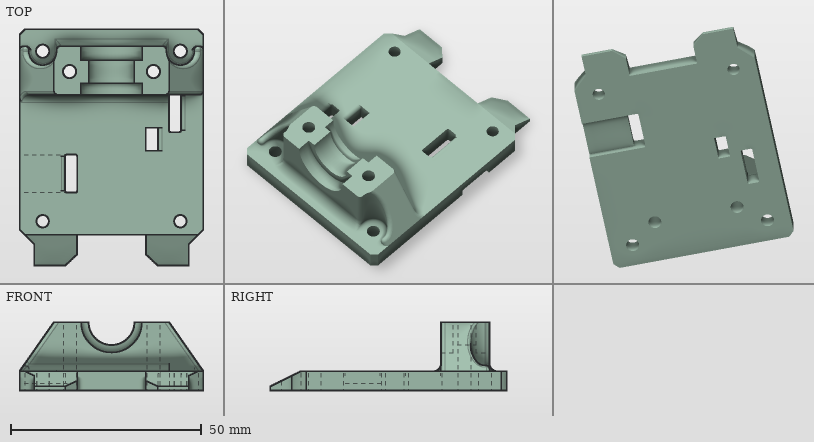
import cadquery as cq
import math


plate_width = 48.23
plate_length = 54.0
plate_thickness = 5.1
corner_chamfer = 1.42

tab_length = 8.03
tab_inner_x = 9.03
tab_outer_x = 20.3
tab_inner_chamfer_x = 3.1
tab_inner_chamfer_y = 2.9
tab_tip_thickness = 1.15

total_height = 18.0
block_front_y = 36.75
block_back_y = 49.5
block_top_half_width = 15.1
block_edge_radius = 1.0
foot_fillet_radius = 2.0
bore_radius = 6.0
counterbore_radius = 8.0
bore_front_y = 39.85
bore_back_y = 45.85
cap_screw_x = 11.0
cap_screw_y = 42.85
cap_screw_diameter = 3.4

mount_screw_x = 18.05
rear_screw_y = 48.2
rear_screw_diameter = 3.4
front_screw_y = 3.6
front_screw_diameter = 3.2
relief_radius = 3.65
relief_edge_radius = 0.9
spur_edge_radius = 0.9
relief_foot_radius = 0.5

slot_width = 3.1
slot_lip_radius = 1.0
slot_corner_radius = 0.4
long_slot_length = 9.9
short_slot_length = 6.0
left_slot_front_y = 11.15
middle_slot_front_y = 22.1
right_slot_front_y = 27.0
channel_height = 2.0

edge_margin = 0.1

quarter_arc_inset = 1 - math.cos(math.pi / 4)

half_width = plate_width / 2
block_height = total_height - plate_thickness


def box(x0, x1, y0, y1, z0, z1):
    return cq.Workplane("XY").box(x1 - x0, y1 - y0, z1 - z0, centered=False).translate((x0, y0, z0))


def make_plate():
    plate = box(-half_width, half_width, 0, plate_length, 0, plate_thickness)
    return plate.edges("|Z").chamfer(corner_chamfer)


def make_tab(side):
    """Wedge tab whose outer flank carries on the 45 degree plate corner."""
    corner_x = half_width - corner_chamfer
    shoulder_y = tab_outer_x - corner_x
    outline = (
        cq.Workplane("XY")
        .moveTo(tab_inner_x, corner_chamfer)
        .lineTo(half_width, corner_chamfer)
        .lineTo(corner_x, 0)
        .lineTo(tab_outer_x, shoulder_y)
        .lineTo(tab_outer_x, -tab_length)
        .lineTo(tab_inner_x + tab_inner_chamfer_x, -tab_length)
        .lineTo(tab_inner_x, tab_inner_chamfer_y - tab_length)
        .close()
        .extrude(plate_thickness)
    )
    wedge = (
        cq.Workplane("YZ")
        .moveTo(corner_chamfer, 0)
        .lineTo(corner_chamfer, plate_thickness)
        .lineTo(0, plate_thickness)
        .lineTo(-tab_length, tab_tip_thickness)
        .lineTo(-tab_length, 0)
        .close()
        .extrude(half_width)
    )
    tab = outline.intersect(wedge)
    return tab if side > 0 else tab.mirror("YZ")


def make_flank_prism(front_y, back_y):
    """Trapezoid of the block, sloping from the plate sides to the narrow top."""
    return (
        cq.Workplane("XZ", origin=(0, back_y, 0))
        .moveTo(-half_width, plate_thickness)
        .lineTo(half_width, plate_thickness)
        .lineTo(block_top_half_width, total_height)
        .lineTo(-block_top_half_width, total_height)
        .close()
        .extrude(back_y - front_y)
    )


def make_foot_strip(x0, x1, wall_y, direction):
    """Concave strip between the plate top and a block wall facing `direction` along Y."""
    arc_rise = foot_fillet_radius * quarter_arc_inset
    return (
        cq.Workplane("YZ", origin=(x0, 0, 0))
        .moveTo(wall_y, plate_thickness)
        .lineTo(wall_y + direction * foot_fillet_radius, plate_thickness)
        .threePointArc(
            (wall_y + direction * arc_rise, plate_thickness + arc_rise),
            (wall_y, plate_thickness + foot_fillet_radius),
        )
        .close()
        .extrude(x1 - x0)
    )


def make_relief(side):
    """U-shaped clearance around a rear screw, open to the back, with a rounded floor rim."""
    round_end = cq.Workplane("XY").circle(relief_radius).extrude(block_height)
    tail = box(-relief_radius, relief_radius, 0, plate_length - rear_screw_y, 0, block_height)
    relief = round_end.union(tail).faces("<Z").edges("not >Y").fillet(relief_foot_radius)
    return relief.translate((side * mount_screw_x, rear_screw_y, plate_thickness))


def edges_within(body, x0, x1, y0, y1, z0, z1):
    """Edges whose centre lies in the given box."""
    return body.edges(cq.selectors.BoxSelector((x0, y0, z0), (x1, y1, z1)))


def round_block_edges(block, side):
    """Round the sloped front edge, the relief rim and the back corners on one side."""
    low_z = plate_thickness + edge_margin
    high_z = total_height - edge_margin
    flank_x0, flank_x1 = sorted((side * (block_top_half_width + edge_margin), side * half_width))
    relief_end_y = rear_screw_y - relief_radius
    rim = edges_within(block, flank_x0, flank_x1, relief_end_y, rear_screw_y - edge_margin, low_z, high_z)
    block = rim.fillet(relief_edge_radius)

    foot_y = block_front_y - foot_fillet_radius
    front = edges_within(block, flank_x0, flank_x1, foot_y, block_front_y + edge_margin, low_z, high_z)
    block = front.fillet(block_edge_radius)

    back_y0 = block_back_y - edge_margin
    back_y1 = block_back_y + edge_margin
    corner_x = side * (mount_screw_x - relief_radius)
    corner = edges_within(block, corner_x - edge_margin, corner_x + edge_margin, back_y0, back_y1, low_z, high_z)
    block = corner.fillet(block_edge_radius)

    spur_x0, spur_x1 = sorted((side * (mount_screw_x + relief_radius - edge_margin), side * half_width))
    spur_low_z = plate_thickness + relief_foot_radius
    spur = edges_within(block, spur_x0, spur_x1, back_y0, back_y1, spur_low_z, high_z)
    return spur.fillet(spur_edge_radius)


def make_bore():
    """Stepped bearing seat along Y, centred on the top of the block."""

    def cylinder(radius, y0, y1):
        return cq.Workplane("XZ", origin=(0, y1, total_height)).circle(radius).extrude(y1 - y0)

    bore = cylinder(bore_radius, block_front_y, block_back_y)
    bore = bore.union(cylinder(counterbore_radius, block_front_y, bore_front_y))
    return bore.union(cylinder(counterbore_radius, bore_back_y, block_back_y))


def make_block():
    flanks = make_flank_prism(block_front_y - foot_fillet_radius, block_back_y)
    front_foot = make_foot_strip(-half_width, block_top_half_width, block_front_y, -1)
    block = make_flank_prism(block_front_y, block_back_y).union(front_foot.intersect(flanks))
    block = block.union(make_foot_strip(-mount_screw_x, mount_screw_x, block_back_y, 1))
    for side in (-1, 1):
        block = block.cut(make_relief(side))
    for side in (-1, 1):
        block = round_block_edges(block, side)
    return block.cut(make_bore())


def make_slot(inner_x, side, front_y, length, corner_radius):
    """Through slot whose wall away from `inner_x` is rounded over at the plate top."""
    wall_x = inner_x + side * slot_width
    lip_x = wall_x + side * slot_lip_radius
    lip_bottom = plate_thickness - slot_lip_radius
    x0, x1 = sorted((inner_x, wall_x))
    slot = box(x0, x1, front_y, front_y + length, 0, plate_thickness)
    if corner_radius > 0:
        slot = slot.edges("|Z").fillet(corner_radius)
    lip_front = front_y + corner_radius
    lip_back = front_y + length - corner_radius
    arc_inset = slot_lip_radius * quarter_arc_inset
    lip = (
        cq.Workplane("XZ", origin=(0, lip_back, 0))
        .moveTo(wall_x, lip_bottom)
        .threePointArc((wall_x + side * arc_inset, plate_thickness - arc_inset), (lip_x, plate_thickness))
        .lineTo(wall_x, plate_thickness)
        .close()
        .extrude(lip_back - lip_front)
    )
    return slot.union(lip)


def make_hole(x, y, diameter):
    return cq.Workplane("XY", origin=(x, y, 0)).circle(diameter / 2).extrude(total_height)


body = make_plate()
for side in (-1, 1):
    body = body.union(make_tab(side))
body = body.cut(make_slot(-tab_inner_x, -1, left_slot_front_y, long_slot_length, slot_corner_radius))
body = body.cut(make_slot(tab_inner_x, 1, middle_slot_front_y, short_slot_length, 0))
body = body.cut(make_slot(block_top_half_width, 1, right_slot_front_y, long_slot_length, slot_corner_radius))
channel_back_y = left_slot_front_y + long_slot_length
channel_end_x = -tab_inner_x - slot_width / 2
body = body.cut(box(-half_width, channel_end_x, left_slot_front_y, channel_back_y, 0, channel_height))

body = body.union(make_block())
for side in (-1, 1):
    body = body.cut(make_hole(side * mount_screw_x, front_screw_y, front_screw_diameter))
    body = body.cut(make_hole(side * mount_screw_x, rear_screw_y, rear_screw_diameter))
    body = body.cut(make_hole(side * cap_screw_x, cap_screw_y, cap_screw_diameter))

result = body